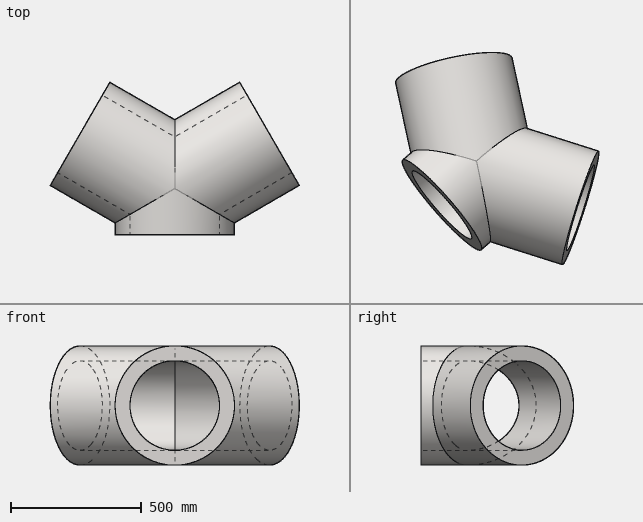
import cadquery as cq
import math

outer_diameter = 457.0
bore_diameter = 343.0
overall_width = 954.5
overall_depth = 585.0
arm_angle = 30.0

outer_radius = outer_diameter / 2
arm_cos = math.cos(math.radians(arm_angle))
arm_sin = math.sin(math.radians(arm_angle))
arm_length = (overall_width / 2 - outer_radius * arm_sin) / arm_cos
stem_length = overall_depth - arm_length * arm_sin - outer_radius * arm_cos

untrimmed_stem_length = outer_diameter

legs = [
    ((arm_cos, arm_sin), arm_length),
    ((-arm_cos, arm_sin), arm_length),
    ((0, -1), untrimmed_stem_length),
]


def three_way(diameter):
    """Union of three cylinders that run outward from the origin."""
    body = cq.Workplane("XY")
    for (x, y), length in legs:
        axis = cq.Vector(x, y, 0)
        leg = cq.Solid.makeCylinder(diameter / 2, length, cq.Vector(0, 0, 0), axis)
        body = body.union(leg)
    return body


def stem_trim():
    """Block that removes everything beyond the flat end of the stem."""
    return (
        cq.Workplane("XY")
        .box(overall_width, untrimmed_stem_length, 2 * outer_diameter, centered=(True, False, True))
        .translate((0, -stem_length - untrimmed_stem_length, 0))
    )


result = three_way(outer_diameter).cut(three_way(bore_diameter)).cut(stem_trim())